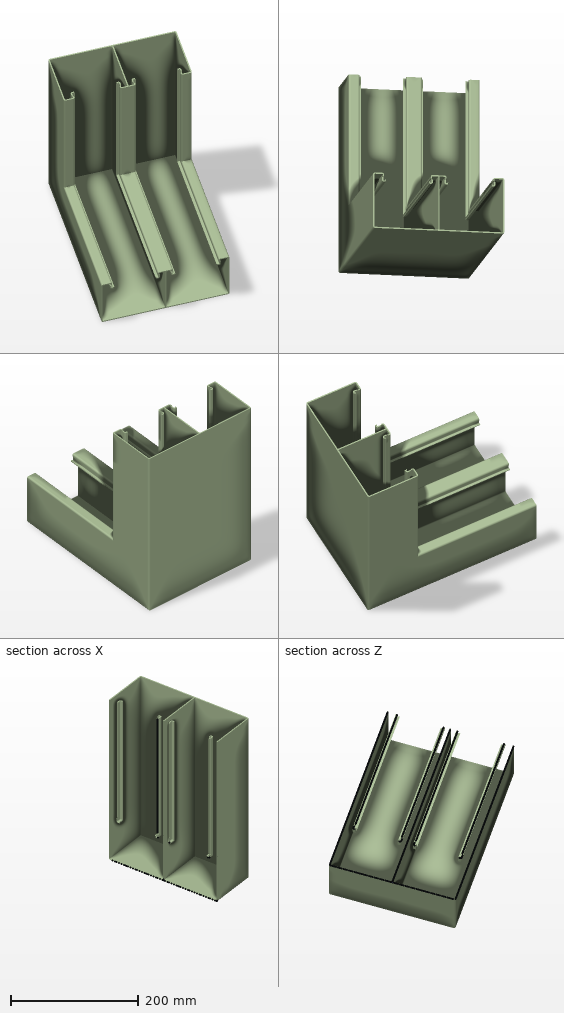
import cadquery as cq

leg_length = 300.0
width = 210.0
depth = 90.0
half_width = width / 2

wall = 2.0
outer_radius = 3.0
inner_radius = outer_radius - wall

divider_offset = 0.5
foot_radius = 1.8

side_lip_reach = 14.5
tee_half_width = 9.3
rail_height = 14.5
rail_shift = 1.2
step_depth = 5.0
flange_reach = 7.0
tip_length = 2.0
tip_lip = 1.2
notch_depth = 1.2


def block(depth_start, depth_end, y_start, y_end):
    """Full-length bar with a rectangular section."""
    return (
        cq.Workplane("XY")
        .center((depth_start + depth_end) / 2, (y_start + y_end) / 2)
        .rect(depth_end - depth_start, y_end - y_start)
        .extrude(leg_length)
    )


def make_shell():
    """Back wall, side walls and front face as a closed tube with rounded long edges."""
    outside = block(0, depth, -half_width, half_width).edges("|Z").fillet(outer_radius)
    inside = block(wall, depth - wall, wall - half_width, half_width - wall)
    return outside.cut(inside.edges("|Z").fillet(inner_radius))


def make_front_opening(side):
    """Material removed from the front face to open the compartment on one side of the middle."""
    edges = (side * tee_half_width, side * (half_width - side_lip_reach))
    return block(depth - wall, depth, min(edges), max(edges))


def make_divider():
    """Wall from the back to the front face, with a concave fillet along its foot."""
    low_face = -divider_offset
    foot_edge = low_face - foot_radius
    foot_top = wall + foot_radius
    foot = (
        cq.Workplane("XY")
        .moveTo(wall, low_face)
        .lineTo(wall, foot_edge)
        .radiusArc((foot_top, low_face), foot_radius)
        .close()
        .extrude(leg_length)
    )
    return block(wall / 2, depth - wall / 2, low_face, low_face + wall).union(foot)


def make_rail(root, direction):
    """Stepped rail running back from a lip, ending in a notched flange that points into the opening."""
    step = depth - step_depth
    flange_back = depth - rail_height
    flange_front = flange_back + wall
    tip_front = flange_front + tip_lip
    tip_start = flange_reach - tip_length
    section = [
        (depth, 0),
        (depth, rail_shift + wall),
        (step, rail_shift + wall),
        (step, wall),
        (flange_front, wall),
        (flange_front, tip_start),
        (tip_front, tip_start),
        (tip_front, flange_reach),
        (flange_front, flange_reach - notch_depth),
        (flange_back, flange_reach - notch_depth),
        (flange_back, 0),
        (step - wall, 0),
        (step - wall, rail_shift),
        (depth - wall, rail_shift),
        (depth - wall, 0),
    ]
    points = [(along_depth, root + direction * across) for along_depth, across in section]
    rail = cq.Workplane("XY").polyline(points).close().extrude(leg_length)
    rounded_corners = [
        ((depth, rail_shift + wall), outer_radius),
        ((flange_back, 0), outer_radius),
        ((flange_front, wall), inner_radius),
    ]
    for (along_depth, across), radius in rounded_corners:
        corner = (along_depth, root + direction * across, leg_length / 2)
        rail = rail.edges(cq.NearestToPointSelector(corner)).fillet(radius)
    return rail


def make_straight_leg():
    """Square-ended leg along Z with its back wall at X = 0."""
    leg = make_shell().union(make_divider())
    for side in (-1, 1):
        leg = leg.cut(make_front_opening(side))
        leg = leg.union(make_rail(side * (half_width - side_lip_reach), -side))
        leg = leg.union(make_rail(side * tee_half_width, side))
    return leg


def make_mitre_cutter():
    """Wedge that removes everything below the plane Z = X."""
    return (
        cq.Workplane("XZ")
        .polyline([(0, 0), (leg_length, 0), (leg_length, leg_length)])
        .close()
        .extrude(half_width, both=True)
    )


upright_leg = make_straight_leg().cut(make_mitre_cutter()).solids().val()

level_leg = upright_leg.mirror(cq.Vector(1, 0, -1))

result = cq.Compound.makeCompound([upright_leg, level_leg])